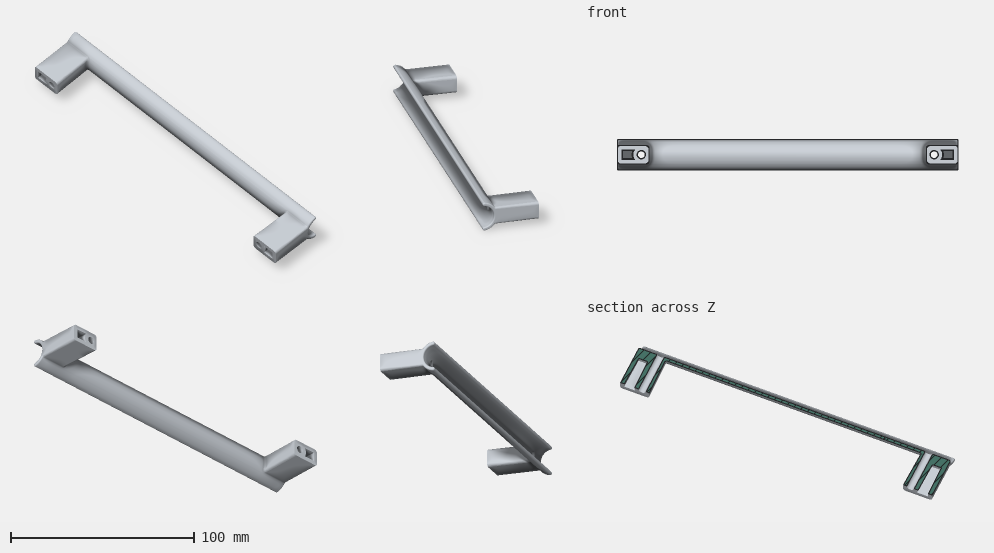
import cadquery as cq
import math

length = 186.0
depth = 31.6
height = 16.7

wall = 2.0
end_round = 0.7
lip_radius = wall / 2
lip_y = -lip_radius
lip_z = height / 2 - lip_radius
middle_radius = math.hypot(lip_y, lip_z)
outer_radius = middle_radius + lip_radius
inner_radius = middle_radius - lip_radius

post_width = 17.3
post_root_width = 16.5
post_height = 10.0
foot_end_corner = 1.5
foot_inner_corner = 1.7
root_end_corner = 1.0
root_inner_corner = 1.3
root_fillet = 1.0

hole_spacing = 160.0
hole_diameter = 4.3
pocket_end_gap = 2.5
pocket_height = 5.2
pocket_arc_radius = 4.6
pocket_depth = 18.6
pocket_taper = 1.2

end_x = -length / 2
hole_x = -hole_spacing / 2
foot_y = -depth
foot_plane = cq.Plane(origin=(0, foot_y, 0), xDir=(1, 0, 0), normal=(0, 1, 0))


def make_channel():
    """C-shaped section with rounded lips, its outer edges rounded at both ends."""
    outer_scale = outer_radius / middle_radius
    inner_scale = inner_radius / middle_radius
    outer_y, outer_z = lip_y * outer_scale, lip_z * outer_scale
    inner_y, inner_z = lip_y * inner_scale, lip_z * inner_scale
    tip_y = lip_y + lip_radius * lip_z / middle_radius
    tip_z = lip_z - lip_radius * lip_y / middle_radius
    channel = (
        cq.Workplane("YZ", origin=(end_x, 0, 0))
        .moveTo(outer_y, outer_z)
        .threePointArc((-outer_radius, 0), (outer_y, -outer_z))
        .threePointArc((tip_y, -tip_z), (inner_y, -inner_z))
        .threePointArc((-inner_radius, 0), (inner_y, inner_z))
        .threePointArc((tip_y, tip_z), (outer_y, outer_z))
        .close()
        .extrude(length)
    )
    for side in ("<X", ">X"):
        channel = channel.faces(side).edges("<Y").fillet(end_round)
    return channel


def post_outline(workplane, width, end_corner, inner_corner):
    """Rectangle whose corners are rounded differently at its end and inner sides."""
    half = post_height / 2
    left = end_x
    right = end_x + width
    corner_inset = 1 - math.sqrt(0.5)
    end_inset = corner_inset * end_corner
    inner_inset = corner_inset * inner_corner
    return (
        workplane
        .moveTo(left + end_corner, -half)
        .lineTo(right - inner_corner, -half)
        .threePointArc((right - inner_inset, -half + inner_inset), (right, -half + inner_corner))
        .lineTo(right, half - inner_corner)
        .threePointArc((right - inner_inset, half - inner_inset), (right - inner_corner, half))
        .lineTo(left + end_corner, half)
        .threePointArc((left + end_inset, half - end_inset), (left, half - end_corner))
        .lineTo(left, -half + end_corner)
        .threePointArc((left + end_inset, -half + end_inset), (left + end_corner, -half))
        .close()
    )


def make_post():
    """Left post, lofted from foot to channel axis and trimmed inside the channel wall."""
    foot = post_outline(
        cq.Workplane(foot_plane), post_width, foot_end_corner, foot_inner_corner
    )
    root = post_outline(
        foot.workplane(offset=-foot_y), post_root_width, root_end_corner, root_inner_corner
    )
    trim = cq.Workplane("YZ").circle(middle_radius).extrude(length, both=True)
    return root.loft(ruled=True).cut(trim)


def fillet_post_roots(body):
    """Round the seam where the posts meet the outside of the channel."""
    seam_y = math.sqrt(outer_radius**2 - (post_height / 2) ** 2)
    margin = 0.28
    seam = cq.selectors.BoxSelector(
        (-length, -outer_radius - margin, -height),
        (length, -seam_y + margin, height),
    )
    return body.edges(seam).fillet(root_fillet)


def make_foot_openings():
    """Through screw hole and blind pocket, whose inner wall is concentric with the hole."""
    foot = cq.Workplane(foot_plane)
    hole = foot.center(hole_x, 0).circle(hole_diameter / 2).extrude(depth)
    half = pocket_height / 2
    left = end_x + pocket_end_gap
    corner_x = hole_x - math.sqrt(pocket_arc_radius**2 - half**2)
    pocket = (
        foot
        .moveTo(left, -half)
        .lineTo(corner_x, -half)
        .threePointArc((hole_x - pocket_arc_radius, 0), (corner_x, half))
        .lineTo(left, half)
        .close()
        .extrude(pocket_depth, taper=pocket_taper)
    )
    return hole.union(pocket)


post = make_post()
openings = make_foot_openings()
body = make_channel().union(post).union(post.mirror("YZ"))
body = fillet_post_roots(body)
result = body.cut(openings).cut(openings.mirror("YZ"))